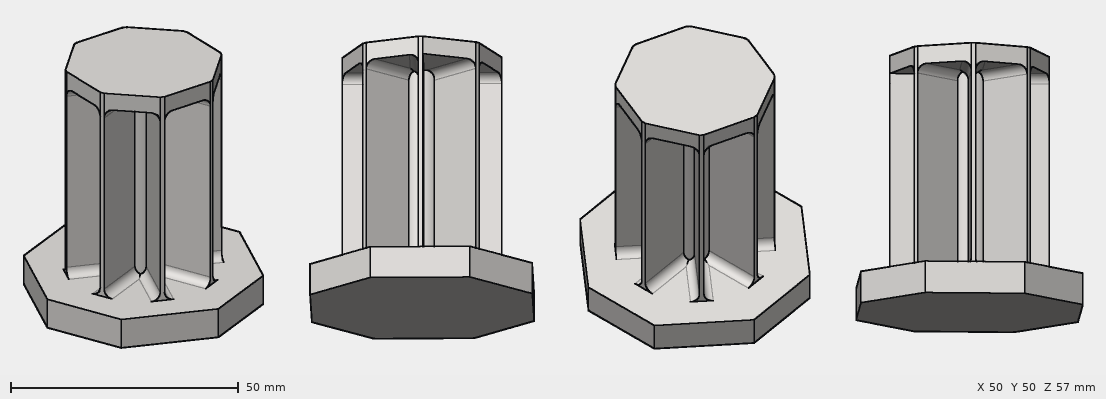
import cadquery as cq
import math

total_height = 57.0
base_width = 50.0
base_flat_length = 19.0
base_height = 7.0
head_height = 4.0
core_diameter = 9.0
rib_span = 35.0
rib_thickness = 1.0
flare_radius = 2.0
rib_count = 8
plain_topped_rib = 3

rib_reach = rib_span / 2
half_rib = rib_thickness / 2
half_flare = half_rib + flare_radius
head_bottom = total_height - head_height
sector_angle = 360 / rib_count


def octagonal_base():
    """Square plate with cut corners, leaving flats facing the X and Y axes."""
    corner_cut = (base_width - base_flat_length) / 2
    plate = cq.Workplane("XY").rect(base_width, base_width).extrude(base_height)
    return plate.edges("|Z").chamfer(corner_cut)


def column_outline():
    """Corners of all rib ends, joined by straight edges between neighbouring ribs."""
    corners = []
    for index in range(rib_count):
        angle = math.radians(index * sector_angle)
        for side in (-half_rib, half_rib):
            x = rib_reach * math.cos(angle) - side * math.sin(angle)
            y = rib_reach * math.sin(angle) + side * math.cos(angle)
            corners.append((x, y))
    return corners


def column_prism(bottom, top):
    """Solid prism filling the column outline between two heights."""
    outline = cq.Workplane("XY").workplane(offset=bottom).polyline(column_outline()).close()
    return outline.extrude(top - bottom)


def rib():
    """Radial rib along +X whose profile flares at its foot and its top."""
    flare_offset = flare_radius * (1 - math.sqrt(0.5))
    lower_tangent = base_height + flare_radius
    upper_tangent = head_bottom - flare_radius
    middle = half_rib + flare_offset
    lower_middle = base_height + flare_offset
    upper_middle = head_bottom - flare_offset
    return (
        cq.Workplane("YZ")
        .moveTo(-half_flare, base_height)
        .lineTo(half_flare, base_height)
        .threePointArc((middle, lower_middle), (half_rib, lower_tangent))
        .lineTo(half_rib, upper_tangent)
        .threePointArc((middle, upper_middle), (half_flare, head_bottom))
        .lineTo(-half_flare, head_bottom)
        .threePointArc((-middle, upper_middle), (-half_rib, upper_tangent))
        .lineTo(-half_rib, lower_tangent)
        .threePointArc((-middle, lower_middle), (-half_flare, base_height))
        .close()
        .extrude(rib_reach)
    )


def counterclockwise_upper_flare():
    """Block around the upper flare on the +Y side of a rib along +X."""
    block = cq.Workplane("XY").box(rib_reach, flare_radius, flare_radius, centered=False)
    return block.translate((0, half_rib, head_bottom - flare_radius))


def ribs():
    """Ring of ribs; only their upper flares are trimmed to the cap outline."""
    single_rib = rib()
    middle_height = (base_height + head_bottom) / 2
    trim_size = 2 * rib_span
    lower_space = cq.Workplane("XY").rect(trim_size, trim_size).extrude(middle_height)
    envelope = lower_space.union(column_prism(middle_height, head_bottom))
    trimmed_rib = single_rib.intersect(envelope)
    ring = trimmed_rib
    for index in range(1, rib_count):
        next_rib = trimmed_rib
        if index == plain_topped_rib:
            next_rib = next_rib.cut(counterclockwise_upper_flare())
        ring = ring.union(next_rib.rotate((0, 0, 0), (0, 0, 1), index * sector_angle))
    return ring


core = cq.Workplane("XY").circle(core_diameter / 2).extrude(total_height)
head = column_prism(head_bottom, total_height)

result = octagonal_base().union(core).union(ribs()).union(head).clean()